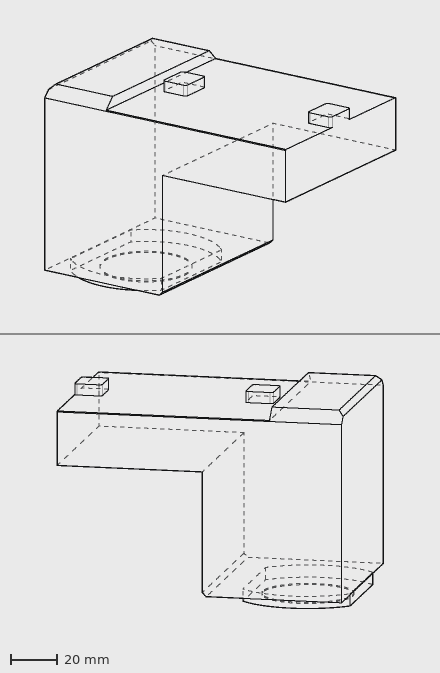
import cadquery as cq
import math

length = 126.0
width = 85.0
height = 90.0

disc_thickness = 0.5
disc_diameter = 40.0
foot_thickness = 5.4
foot_diameter = 66.4
foot_length = 47.5
foot_center_x = 24.2

body_bottom = disc_thickness + foot_thickness
column_length = 61.7
column_chamfer = 1.8
arm_bottom = 61.0
arm_top = 85.0
head_length = 32.0
side_chamfer = 5.3
front_chamfer = 2.3

pad_length = 12.2
pad_width = 15.0
pad_corner_radius = 1.3
pad_centers_x = (44.1, length - pad_length / 2)


def make_body():
    """L-shaped side profile extruded across the width, with bevelled top sides."""
    profile = [
        (0, body_bottom),
        (column_length - column_chamfer, body_bottom),
        (column_length, body_bottom + column_chamfer),
        (column_length, arm_bottom),
        (length, arm_bottom),
        (length, arm_top),
        (head_length, arm_top),
        (head_length, height),
        (front_chamfer, height),
        (0, height - front_chamfer),
    ]
    body = cq.Workplane("XZ").polyline(profile).close().extrude(width / 2, both=True)

    half_width = width / 2
    bevelled_section = [
        (-half_width, 0),
        (half_width, 0),
        (half_width, height - side_chamfer),
        (half_width - side_chamfer, height),
        (-half_width + side_chamfer, height),
        (-half_width, height - side_chamfer),
    ]
    envelope = cq.Workplane("YZ").polyline(bevelled_section).close().extrude(length)
    return body.intersect(envelope)


def make_foot():
    """Round plate with two parallel flats, carrying a thin round disc below."""
    radius = foot_diameter / 2
    half_length = foot_length / 2
    half_flat = math.sqrt(radius**2 - half_length**2)
    plate = (
        cq.Workplane("XY", origin=(foot_center_x, 0, disc_thickness))
        .moveTo(-half_length, -half_flat)
        .threePointArc((0, -radius), (half_length, -half_flat))
        .lineTo(half_length, half_flat)
        .threePointArc((0, radius), (-half_length, half_flat))
        .close()
        .extrude(foot_thickness)
    )
    disc = (
        cq.Workplane("XY", origin=(foot_center_x, 0, 0))
        .circle(disc_diameter / 2)
        .extrude(disc_thickness)
    )
    return plate.union(disc)


def make_pad(center_x):
    """Rounded rectangular pad rising from the arm to the height of the head."""
    return (
        cq.Workplane("XY", origin=(center_x, 0, arm_top))
        .rect(pad_length, pad_width)
        .extrude(height - arm_top)
        .edges("|Z")
        .fillet(pad_corner_radius)
    )


result = make_body().union(make_foot())
for pad_center_x in pad_centers_x:
    result = result.union(make_pad(pad_center_x))